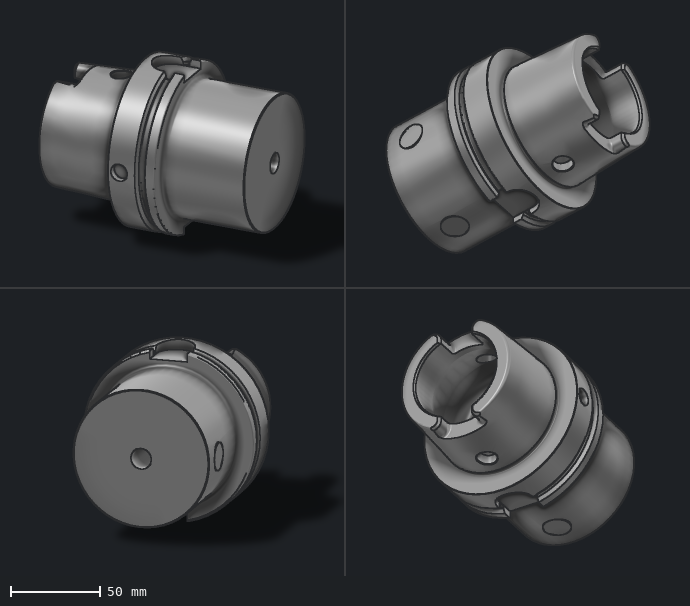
import cadquery as cq
import math


front_x = -50.0
rear_x = 79.9

taper_root_x = -2.6
taper_root_radius = 37.8
taper_slope = 1 / 20
lip_round = 1.8
relief_drop = 0.6
relief_fillet = 0.9
relief_face_depth = 0.1
relief_outer_radius = 39.2

flange_radius = 50.0
flange_rear_x = 29.0
flange_front_chamfer = 0.3
flange_rear_round = 0.9
groove_radius = 45.7
groove_front_x = 16.6
groove_rear_x = 23.1
groove_bevel_length = 1.3
groove_bevel_height = 2.6
groove_corner_round = 0.8

shank_radius = 40.0
shank_fillet = 2.6
shank_chamfer = 0.5

mouth_radius = 26.5
mouth_chamfer_length = 1.4
mouth_chamfer_height = 0.8
cavity_cone_x = -30.3
cavity_radius = 31.5
cavity_cone_end_x = -9.7
cavity_floor_x = 6.5
cavity_floor_round = 6.5
thread_radius = 11.0
thread_chamfer = 0.8
thread_depth = 19.5
axial_hole_radius = 6.0

drive_half_width = 10.0
drive_neck_z = 27.1
drive_shoulder_round = 5.1
drive_shoulder_sweep = 120
drive_chamfer = 1.5
drive_floor_round = 2.0
drive_top_depth = 15.1
drive_bottom_depth = 10.0

wall_hole_x = -15.1
wall_hole_radius = 5.8
wall_hole_chamfer = 0.4

gripper_half_width = 11.0
gripper_front_x = 4.8
gripper_floor_z = 44.0
chip_hole_x = 7.0
chip_hole_radius = 5.1
chip_hole_depth = 4.5

screw_x = 61.8
screw_radius = 8.0
screw_length = 19.5
screw_turns = [-90, 180]


def taper_radius(x):
    return taper_root_radius + (x - taper_root_x) * taper_slope


def holder_blank():
    """Outside of the holder: half profile in (x, radius) turned about X."""
    lip_x = front_x + lip_round
    lip_radius = taper_radius(lip_x)
    lip_mid = lip_round * (1 - math.sqrt(0.5))
    relief_radius = taper_root_radius - relief_drop
    relief_mid = relief_fillet * (1 - math.sqrt(0.5))
    rear_mid = flange_rear_round * (1 - math.sqrt(0.5))
    fillet_mid = shank_fillet * (1 - math.sqrt(0.5))
    profile = (
        cq.Workplane("XY")
        .moveTo(front_x, 0)
        .lineTo(front_x, lip_radius - lip_round)
        .threePointArc((front_x + lip_mid, lip_radius - lip_mid), (lip_x, lip_radius))
        .lineTo(taper_root_x, taper_root_radius)
        .lineTo(taper_root_x + relief_drop, relief_radius)
        .lineTo(relief_face_depth - relief_fillet, relief_radius)
        .threePointArc(
            (relief_face_depth - relief_mid, relief_radius + relief_mid),
            (relief_face_depth, relief_radius + relief_fillet),
        )
        .lineTo(0, relief_outer_radius)
        .lineTo(0, flange_radius - flange_front_chamfer)
        .lineTo(flange_front_chamfer, flange_radius)
        .lineTo(flange_rear_x - flange_rear_round, flange_radius)
        .threePointArc(
            (flange_rear_x - rear_mid, flange_radius - rear_mid),
            (flange_rear_x, flange_radius - flange_rear_round),
        )
        .lineTo(flange_rear_x, shank_radius + shank_fillet)
        .threePointArc(
            (flange_rear_x + fillet_mid, shank_radius + fillet_mid),
            (flange_rear_x + shank_fillet, shank_radius),
        )
        .lineTo(rear_x - shank_chamfer, shank_radius)
        .lineTo(rear_x, shank_radius - shank_chamfer)
        .lineTo(rear_x, 0)
        .close()
    )
    return profile.revolve(360, (0, 0, 0), (1, 0, 0))


def rim_groove():
    """Ring cut into the flange rim, with bevelled walls and rounded bottom corners."""
    wall_front_x = groove_front_x + groove_bevel_length
    wall_rear_x = groove_rear_x - groove_bevel_length
    wall_top = flange_radius - groove_bevel_height
    wall_bottom = groove_radius + groove_corner_round
    corner_mid = groove_corner_round * (1 - math.sqrt(0.5))
    profile = (
        cq.Workplane("XY")
        .moveTo(groove_front_x, flange_radius)
        .lineTo(wall_front_x, wall_top)
        .lineTo(wall_front_x, wall_bottom)
        .threePointArc(
            (wall_front_x + corner_mid, groove_radius + corner_mid),
            (wall_front_x + groove_corner_round, groove_radius),
        )
        .lineTo(wall_rear_x - groove_corner_round, groove_radius)
        .threePointArc(
            (wall_rear_x - corner_mid, groove_radius + corner_mid),
            (wall_rear_x, wall_bottom),
        )
        .lineTo(wall_rear_x, wall_top)
        .lineTo(groove_rear_x, flange_radius)
        .close()
    )
    return profile.revolve(360, (0, 0, 0), (1, 0, 0))


def cavity():
    """Mouth, widening cone, rounded floor, threaded hole and through hole along the axis."""
    floor_radius = cavity_radius - cavity_floor_round
    bend = cavity_floor_round * (1 - math.sqrt(0.5))
    profile = (
        cq.Workplane("XY")
        .moveTo(front_x, 0)
        .lineTo(front_x, mouth_radius + mouth_chamfer_height)
        .lineTo(front_x + mouth_chamfer_length, mouth_radius)
        .lineTo(cavity_cone_x, mouth_radius)
        .lineTo(cavity_cone_end_x, cavity_radius)
        .lineTo(cavity_floor_x - cavity_floor_round, cavity_radius)
        .threePointArc(
            (cavity_floor_x - bend, cavity_radius - bend),
            (cavity_floor_x, floor_radius),
        )
        .lineTo(cavity_floor_x, thread_radius + thread_chamfer)
        .lineTo(cavity_floor_x + thread_chamfer, thread_radius)
        .lineTo(cavity_floor_x + thread_depth, thread_radius)
        .lineTo(cavity_floor_x + thread_depth, axial_hole_radius)
        .lineTo(rear_x, axial_hole_radius)
        .lineTo(rear_x, 0)
        .close()
    )
    return profile.revolve(360, (0, 0, 0), (1, 0, 0))


def drive_slot(depth):
    """Slot at +Z that flares over rounded shoulders, with a rounded floor and chamfered mouth."""
    center_y = drive_half_width + drive_shoulder_round
    outer = flange_radius

    def shoulder_point(side, sweep):
        angle = math.radians(180 - sweep)
        y = center_y + drive_shoulder_round * math.cos(angle)
        z = drive_neck_z + drive_shoulder_round * math.sin(angle)
        return (side * y, z)

    def section(x):
        return (
            cq.Workplane("YZ", origin=(x, 0, 0))
            .moveTo(-drive_half_width, 0)
            .lineTo(drive_half_width, 0)
            .lineTo(drive_half_width, drive_neck_z)
            .threePointArc(
                shoulder_point(1, drive_shoulder_sweep / 2),
                shoulder_point(1, drive_shoulder_sweep),
            )
            .lineTo(outer, outer)
            .lineTo(-outer, outer)
            .lineTo(*shoulder_point(-1, drive_shoulder_sweep))
            .threePointArc(
                shoulder_point(-1, drive_shoulder_sweep / 2),
                (-drive_half_width, drive_neck_z),
            )
            .close()
        )

    slot = section(front_x).extrude(depth).faces(">X").edges().fillet(drive_floor_round)
    mouth = section(front_x + drive_chamfer).extrude(-drive_chamfer, taper=-45)
    return slot.union(mouth)


def with_wall_holes(body):
    """Body with a hole along Z through both taper walls, chamfered at the outside."""
    hole = cq.Workplane("XY", origin=(wall_hole_x, 0, 0)).circle(wall_hole_radius)
    body = body.cut(hole.extrude(flange_radius, both=True))
    reach = 1.5 * wall_hole_radius
    for side in (1, -1):
        rim = cq.selectors.BoxSelector(
            (wall_hole_x - reach, -reach, side * cavity_radius),
            (wall_hole_x + reach, reach, side * flange_radius),
        )
        body = body.edges(rim).chamfer(wall_hole_chamfer)
    return body


def gripper_slot():
    """Flat-floored slot at +Z with a round front end, open to the rear of the flange."""
    arc_x = gripper_front_x + gripper_half_width
    return (
        cq.Workplane("XY", origin=(0, 0, gripper_floor_z))
        .moveTo(flange_rear_x, -gripper_half_width)
        .lineTo(arc_x, -gripper_half_width)
        .threePointArc((gripper_front_x, 0), (arc_x, gripper_half_width))
        .lineTo(flange_rear_x, gripper_half_width)
        .close()
        .extrude(flange_radius - gripper_floor_z)
    )


def chip_hole():
    """Blind round hole in the -Y side of the flange."""
    return (
        cq.Workplane("XZ", origin=(chip_hole_x, chip_hole_depth - flange_radius, 0))
        .circle(chip_hole_radius)
        .extrude(chip_hole_depth)
    )


def radial_plug(length):
    """Round plug at +Z on the screw position, its outer end level with the shank."""
    return (
        cq.Workplane("XY", origin=(screw_x, 0, shank_radius - length))
        .circle(screw_radius)
        .extrude(length)
    )


def turned(shape, angle):
    return shape.rotate((0, 0, 0), (1, 0, 0), angle)


def holder_body():
    body = holder_blank().cut(rim_groove()).cut(cavity())
    body = body.cut(drive_slot(drive_top_depth))
    body = body.cut(turned(drive_slot(drive_bottom_depth), 180))
    body = with_wall_holes(body)
    for angle in (0, 180):
        body = body.cut(turned(gripper_slot(), angle))
    body = body.cut(chip_hole())
    for angle in screw_turns:
        body = body.cut(turned(radial_plug(screw_length), angle))
    return body


def clamping_screw():
    return radial_plug(screw_length)


holder = holder_body()
screws = [turned(clamping_screw(), angle) for angle in screw_turns]

result = cq.Compound.makeCompound([holder.val(), *[screw.val() for screw in screws]])